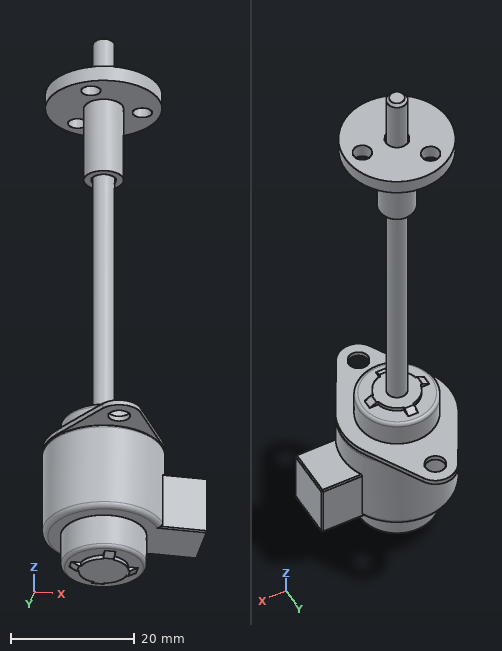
import cadquery as cq
import math


can_diameter = 20.0
can_radius = can_diameter / 2
can_base_z = 6.5
can_bottom_fillet = 0.9
can_top_fillet = 0.5
cap_radius = 7.0
cap_fillet = 0.6
top_cap_z = 27.4

boss_radius = 4.0
boss_height = 0.7
bottom_cap_z = boss_height
tab_width = 1.8
tab_foot_radius = 5.5
tab_top_radius = 4.2
tab_count = 4

plate_top_z = 22.7
plate_thickness = 0.9
plate_base_z = plate_top_z - plate_thickness
ear_radius = 3.6
ear_offset = 13.0
ear_hole_diameter = 3.5

overall_length_x = 26.4
connector_end_x = overall_length_x - can_radius
connector_width = 9.2
connector_height = 10.0
connector_chamfer = 0.25

screw_diameter = 3.5
screw_top_z = 98.5
screw_chamfer = 0.5

nut_base_z = 72.7
nut_top_z = 88.7
nut_flange_thickness = 2.7
nut_flange_diameter = 19.0
nut_sleeve_diameter = 6.5
nut_bore_diameter = 4.0
nut_hole_diameter = 3.2
nut_hole_circle_radius = 6.4
nut_hole_count = 3


def cylinder(radius, bottom_z, top_z):
    return cq.Workplane("XY").workplane(offset=bottom_z).circle(radius).extrude(top_z - bottom_z)


def make_can():
    can = cylinder(can_radius, can_base_z, plate_base_z)
    return can.faces("<Z").edges().fillet(can_bottom_fillet).faces(">Z").edges().fillet(can_top_fillet)


def make_caps():
    """One long cylinder through the can, whose two ends are the caps."""
    return cylinder(cap_radius, bottom_cap_z, top_cap_z).edges("%CIRCLE").fillet(cap_fillet)


def make_boss():
    """Boss standing on Z = 0, with tabs that slope down to the cap face."""
    boss = cylinder(boss_radius, 0, boss_height)
    tab = (
        cq.Workplane("XZ")
        .moveTo(0, 0)
        .lineTo(tab_foot_radius, 0)
        .lineTo(tab_top_radius, boss_height)
        .lineTo(0, boss_height)
        .close()
        .extrude(tab_width / 2, both=True)
    )
    for i in range(tab_count):
        boss = boss.union(tab.rotate((0, 0, 0), (0, 0, 1), i * 360 / tab_count))
    return boss


def make_plate():
    """Plate outlined by the can circle, two ear circles and their common tangents."""
    tangent_angle = math.asin((can_radius - ear_radius) / ear_offset)
    tangent_x = math.cos(tangent_angle)
    tangent_y = math.sin(tangent_angle)
    side_x = can_radius * tangent_x
    side_y = can_radius * tangent_y
    ear_x = ear_radius * tangent_x
    ear_y = ear_offset + ear_radius * tangent_y
    ear_tip_y = ear_offset + ear_radius
    return (
        cq.Workplane("XY")
        .workplane(offset=plate_base_z)
        .moveTo(side_x, -side_y)
        .threePointArc((can_radius, 0), (side_x, side_y))
        .lineTo(ear_x, ear_y)
        .threePointArc((0, ear_tip_y), (-ear_x, ear_y))
        .lineTo(-side_x, side_y)
        .threePointArc((-can_radius, 0), (-side_x, -side_y))
        .lineTo(-ear_x, -ear_y)
        .threePointArc((0, -ear_tip_y), (ear_x, -ear_y))
        .close()
        .pushPoints([(0, ear_offset), (0, -ear_offset)])
        .circle(ear_hole_diameter / 2)
        .extrude(plate_thickness)
    )


def make_connector():
    """Block from the axis out to its end face, with its outer edges broken."""
    block = cq.Workplane("XY").box(
        connector_end_x, connector_width, connector_height, centered=(False, True, False)
    )
    block = block.edges("|X or >X").chamfer(connector_chamfer)
    return block.translate((0, 0, can_base_z))


def make_screw():
    screw = cylinder(screw_diameter / 2, top_cap_z, screw_top_z)
    return screw.faces(">Z").edges().chamfer(screw_chamfer)


def make_motor():
    top_boss = make_boss().translate((0, 0, top_cap_z))
    bottom_boss = make_boss().mirror("XY").translate((0, 0, bottom_cap_z))
    motor = make_can().union(make_caps()).union(make_plate()).union(make_connector())
    return motor.union(top_boss).union(bottom_boss).union(make_screw())


def make_nut():
    """Sleeve under a round flange, with a clearance bore and three flange holes, one toward +X."""
    sleeve = cylinder(nut_sleeve_diameter / 2, nut_base_z, nut_top_z)
    flange = cylinder(nut_flange_diameter / 2, nut_top_z - nut_flange_thickness, nut_top_z)
    bore = cylinder(nut_bore_diameter / 2, nut_base_z, nut_top_z)
    flange_holes = (
        cq.Workplane("XY")
        .workplane(offset=nut_top_z - nut_flange_thickness)
        .polarArray(nut_hole_circle_radius, 0, 360, nut_hole_count)
        .circle(nut_hole_diameter / 2)
        .extrude(nut_flange_thickness)
    )
    return sleeve.union(flange).cut(bore).cut(flange_holes)


motor = make_motor()
nut = make_nut()

result = cq.Compound.makeCompound([motor.val(), nut.val()])